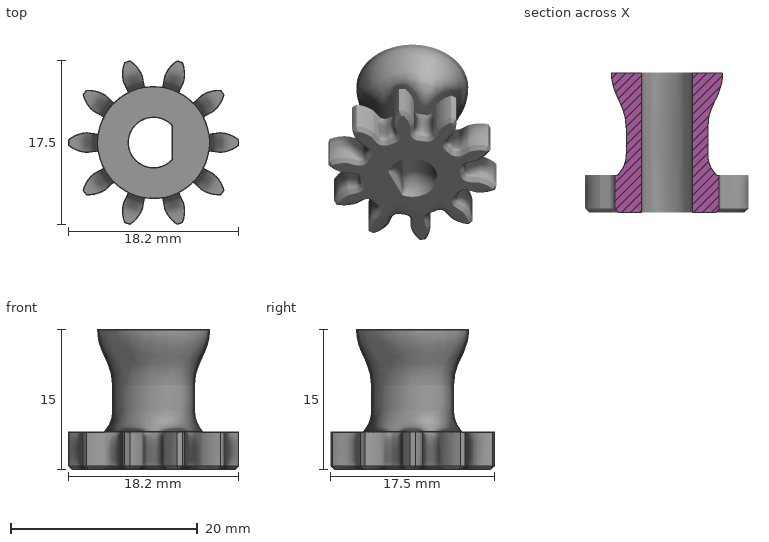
import cadquery as cq
import math

TOTAL_HEIGHT = 15.0
GEAR_HEIGHT = 4.0
GEAR_CHAMFER = 0.4
CHAMFER_ANGLE = 45.0

TOOTH_COUNT = 10
TIP_DISTANCE = 9.115
TIP_HALF_WIDTH = 0.3
FLANK_MID_DISTANCE = 8.2
FLANK_MID_HALF_WIDTH = 0.83
SHOULDER_DISTANCE = 7.17
SHOULDER_HALF_WIDTH = 1.06
NECK_SLOPE = 0.13
ROOT_RADIUS = 5.6
ROOT_LAND_HALF_WIDTH = 0.29

HUB_RADIUS = 8.8 / 2
HUB_TOP_RADIUS = 6.0
LOWER_FLARE_TOP = 6.25
UPPER_FLARE_BOTTOM = 9.05
FOOT_HEIGHT = 0.1
FOOT_TOP_RADIUS = 5.23
FOOT_BOTTOM_RADIUS = 5.37

BORE_RADIUS = 2.7
BORE_FLAT_DISTANCE = 2.0


def polar(radius, angle):
    """XY point at a radius and an angle from +X."""
    return (radius * math.cos(angle), radius * math.sin(angle))


def upper_half_tooth():
    """Named points of the +Y half of the tooth that points along +X.

    The neck line tapers inward from the shoulder, and a root fillet tangent
    to both the neck and the root circle joins the two.
    """
    gap_middle = math.pi / TOOTH_COUNT
    root_angle = gap_middle - math.asin(ROOT_LAND_HALF_WIDTH / ROOT_RADIUS)

    normal_angle = math.pi / 2 + math.atan(NECK_SLOPE)
    normal_x, normal_y = polar(1, normal_angle)

    neck_offset = SHOULDER_DISTANCE * normal_x + SHOULDER_HALF_WIDTH * normal_y
    alignment = math.cos(normal_angle - root_angle)
    fillet_radius = (ROOT_RADIUS * alignment - neck_offset) / (1 - alignment)
    center_x, center_y = polar(ROOT_RADIUS + fillet_radius, root_angle)

    middle_angle = math.pi + (root_angle + normal_angle) / 2
    middle_x, middle_y = polar(fillet_radius, middle_angle)
    return {
        "tip": (TIP_DISTANCE, TIP_HALF_WIDTH),
        "flank": (FLANK_MID_DISTANCE, FLANK_MID_HALF_WIDTH),
        "shoulder": (SHOULDER_DISTANCE, SHOULDER_HALF_WIDTH),
        "neck": (center_x - fillet_radius * normal_x, center_y - fillet_radius * normal_y),
        "fillet": (center_x + middle_x, center_y + middle_y),
        "root": polar(ROOT_RADIUS, root_angle),
    }


def gear_outline():
    """Closed outline of the whole gear, at the top of the chamfer."""
    half_tooth = upper_half_tooth()
    pitch_angle = 2 * math.pi / TOOTH_COUNT

    def place(name, side, index):
        """Half-tooth point on the +1 or -1 side of the tooth with this index."""
        x, y = half_tooth[name]
        return polar(math.hypot(x, y), index * pitch_angle + side * math.atan2(y, x))

    outline = cq.Workplane("XY", origin=(0, 0, GEAR_CHAMFER)).moveTo(*place("root", -1, 0))
    for index in range(TOOTH_COUNT):
        outline = (
            outline.threePointArc(place("fillet", -1, index), place("neck", -1, index))
            .lineTo(*place("shoulder", -1, index))
            .threePointArc(place("flank", -1, index), place("tip", -1, index))
            .lineTo(*place("tip", 1, index))
            .threePointArc(place("flank", 1, index), place("shoulder", 1, index))
            .lineTo(*place("neck", 1, index))
            .threePointArc(place("fillet", 1, index), place("root", 1, index))
        )
        gap_middle = polar(ROOT_RADIUS, (index + 0.5) * pitch_angle)
        outline = outline.threePointArc(gap_middle, place("root", -1, index + 1))
    return outline.close()


def make_gear():
    """Spur gear with a chamfer all around its bottom outline."""
    straight_part = gear_outline().extrude(GEAR_HEIGHT - GEAR_CHAMFER)
    chamfered_part = gear_outline().extrude(-GEAR_CHAMFER, taper=CHAMFER_ANGLE)
    return straight_part.union(chamfered_part)


def make_hub():
    """Turned hub: small foot, lower flare, cylinder and S-curved upper flare."""
    foot_top = GEAR_HEIGHT + FOOT_HEIGHT
    flare_width = FOOT_TOP_RADIUS - HUB_RADIUS
    flare_height = LOWER_FLARE_TOP - foot_top
    flare_radius = (flare_width**2 + flare_height**2) / (2 * flare_width)
    half_sweep = math.asin(flare_height / flare_radius) / 2
    lower_flare_middle = (
        HUB_RADIUS + flare_radius * (1 - math.cos(half_sweep)),
        LOWER_FLARE_TOP - flare_radius * math.sin(half_sweep),
    )
    upward = (0, 1)
    flare_middle = ((HUB_RADIUS + HUB_TOP_RADIUS) / 2, (UPPER_FLARE_BOTTOM + TOTAL_HEIGHT) / 2)
    return (
        cq.Workplane("XZ")
        .moveTo(0, GEAR_HEIGHT)
        .lineTo(FOOT_BOTTOM_RADIUS, GEAR_HEIGHT)
        .lineTo(FOOT_TOP_RADIUS, foot_top)
        .threePointArc(lower_flare_middle, (HUB_RADIUS, LOWER_FLARE_TOP))
        .lineTo(HUB_RADIUS, UPPER_FLARE_BOTTOM)
        .spline(
            [flare_middle, (HUB_TOP_RADIUS, TOTAL_HEIGHT)],
            tangents=[upward, upward],
            includeCurrent=True,
        )
        .lineTo(0, TOTAL_HEIGHT)
        .close()
        .revolve(360, (0, 0, 0), (0, 1, 0))
    )


def make_bore():
    """Through bore with a flat on its +X side."""
    flat_half_width = math.sqrt(BORE_RADIUS**2 - BORE_FLAT_DISTANCE**2)
    return (
        cq.Workplane("XY")
        .moveTo(BORE_FLAT_DISTANCE, -flat_half_width)
        .lineTo(BORE_FLAT_DISTANCE, flat_half_width)
        .threePointArc((-BORE_RADIUS, 0), (BORE_FLAT_DISTANCE, -flat_half_width))
        .close()
        .extrude(TOTAL_HEIGHT)
    )


result = make_gear().union(make_hub()).cut(make_bore())